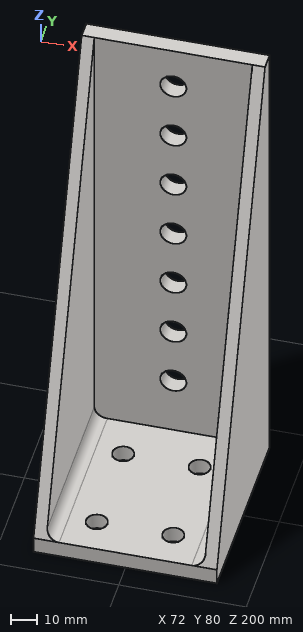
import cadquery as cq

width = 72.0
depth = 80.0
height = 200.0

back_thickness = 7.0
base_thickness = 7.0
wall_thickness = 5.0
inner_radius = 5.0

back_hole_diameter = 10.2
back_hole_count = 7
back_hole_pitch = 25.0
lowest_back_hole = 32.0

base_hole_diameter = 8.5
base_hole_pitch_x = 30.0
base_hole_pitch_y = 40.0
front_hole_offset = 15.0


def bracket_block():
    """Solid wedge: upright back at Y = depth, sloping down to the front edge."""
    profile = [
        (0, 0),
        (depth, 0),
        (depth, height),
        (depth - back_thickness, height),
        (0, base_thickness),
    ]
    return cq.Workplane("YZ").polyline(profile).close().extrude(width / 2, both=True)


def inner_pocket():
    """Space between the side walls, rounded along its two lower edges."""
    pocket = cq.Workplane("XY").box(
        width - 2 * wall_thickness,
        depth - back_thickness,
        height - base_thickness,
        centered=(True, False, False),
    )
    pocket = pocket.edges("|Y and <Z").fillet(inner_radius)
    return pocket.translate((0, 0, base_thickness))


def back_holes():
    """Vertical row of holes through the back plate."""
    centers = [(0, lowest_back_hole + i * back_hole_pitch) for i in range(back_hole_count)]
    return (
        cq.Workplane("XZ", origin=(0, depth, 0))
        .pushPoints(centers)
        .circle(back_hole_diameter / 2)
        .extrude(back_thickness)
    )


def base_holes():
    """Rectangular pattern of four holes through the base."""
    pattern_center_y = front_hole_offset + base_hole_pitch_y / 2
    return (
        cq.Workplane("XY", origin=(0, pattern_center_y, 0))
        .rarray(base_hole_pitch_x, base_hole_pitch_y, 2, 2)
        .circle(base_hole_diameter / 2)
        .extrude(base_thickness)
    )


result = bracket_block().cut(inner_pocket()).cut(back_holes()).cut(base_holes())